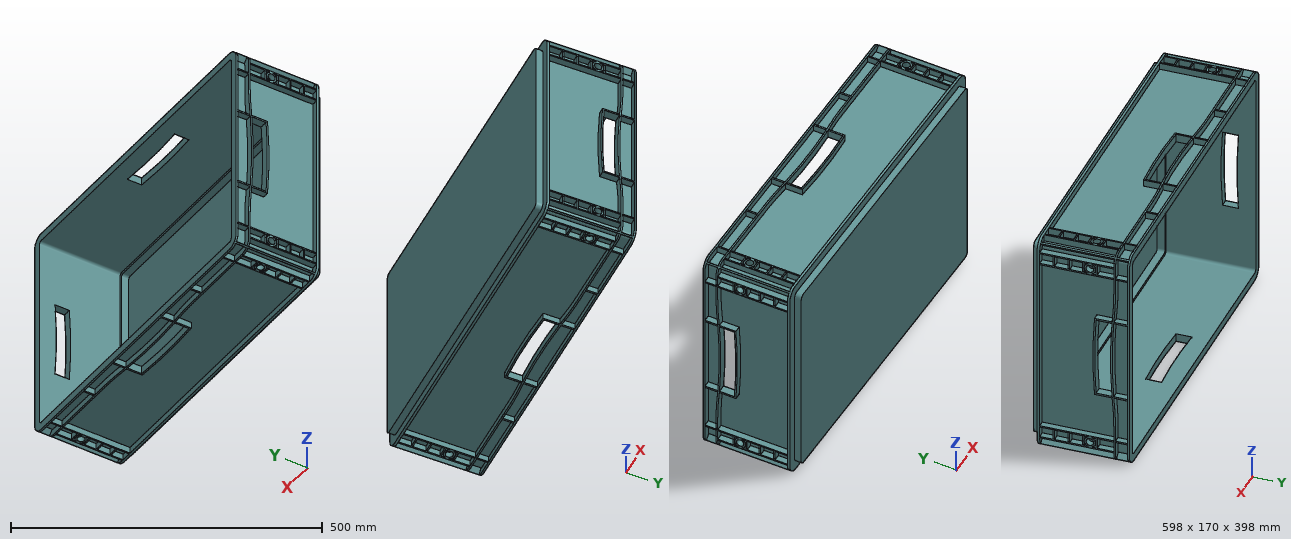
import cadquery as cq
import math


LENGTH = 598.0
WIDTH = 398.0
HEIGHT = 170.0

CORNER_RADIUS = 20.0
RIB_DEPTH = 11.5
WALL = 3.0
RIB = 3.0
RIM_THICKNESS = 3.5

BASE_INSET = 16.0
BASE_HEIGHT = 12.0
BASE_CORNER_RADIUS = 8.5
FLANGE_TOP = 16.5
FLOOR = 3.0

BAND_TOP = HEIGHT - 23.8
BAND_BOTTOM = BAND_TOP - RIB
BOW_CREST_RADIUS = 980.0
BOW_BEND = 85.0
BOW_HALF_SPAN = 129.0
BOW_RUNOUT_RADIUS = BOW_CREST_RADIUS * (BOW_HALF_SPAN - BOW_BEND) / BOW_BEND

GRIP_HALF_WIDTH = 70.0
GRIP_HEIGHT = 27.1

COLUMN_RIB = 2.5
COLUMN_INSET = 22.3
COLUMN_PITCH = 20.7
CROSS_RIB_DEPTHS = (56.2, 79.0, 103.5, 129.5)
BOSS_OUTER_RADIUS = 9.8
BOSS_BORE_RADIUS = 6.5

RIM_RIB_X = 158.5


def rounded_slab(inset, radius, y_low, y_high):
    """Slab with rounded corners, inset from the overall outline."""
    return (
        cq.Workplane("XZ", origin=(0, y_high, 0))
        .rect(LENGTH - 2 * inset, WIDTH - 2 * inset)
        .extrude(y_high - y_low)
        .edges("|Y")
        .fillet(radius)
    )


def arc_rise(radius, half_width):
    """Height of an arc over its chord, for a chord of the given half width."""
    return radius - math.sqrt(radius**2 - half_width**2)


BOW_SAG = arc_rise(BOW_CREST_RADIUS, BOW_BEND) + arc_rise(BOW_RUNOUT_RADIUS, BOW_HALF_SPAN - BOW_BEND)


def bow_drop(x):
    """How far the bowed curve lies below its straight ends at the distance x from the middle."""
    from_end = max(BOW_HALF_SPAN - abs(x), 0)
    if abs(x) >= BOW_BEND:
        return arc_rise(BOW_RUNOUT_RADIUS, from_end)
    return BOW_SAG - arc_rise(BOW_CREST_RADIUS, x)


def wall_plane(reach):
    """Plane at the inner face of a wall that faces +Z at the given reach from the centre."""
    return cq.Workplane("XY", origin=(0, 0, reach - RIB_DEPTH - WALL))


def wall_bar(reach, x_mid, y_low, y_high, width=RIB):
    """Straight rib running along Y."""
    return (
        wall_plane(reach)
        .center(x_mid, (y_low + y_high) / 2)
        .rect(width, y_high - y_low)
        .extrude(RIB_DEPTH + WALL)
    )


def bowed_edge(profile, y, direction):
    """Continue a profile from one end of the bow to the other; direction is the sign of travel in x."""
    runout_middle = (BOW_HALF_SPAN + BOW_BEND) / 2

    def point(x):
        return (x, y - bow_drop(x))

    return (
        profile.threePointArc(point(-direction * runout_middle), point(-direction * BOW_BEND))
        .threePointArc(point(0), point(direction * BOW_BEND))
        .threePointArc(point(direction * runout_middle), point(direction * BOW_HALF_SPAN))
    )


def band_rib(reach, half_length):
    """Rib along the whole wall, bowed in the middle."""
    profile = wall_plane(reach).moveTo(-half_length, BAND_TOP).lineTo(-BOW_HALF_SPAN, BAND_TOP)
    profile = bowed_edge(profile, BAND_TOP, 1).lineTo(half_length, BAND_TOP)
    profile = profile.lineTo(half_length, BAND_BOTTOM).lineTo(BOW_HALF_SPAN, BAND_BOTTOM)
    profile = bowed_edge(profile, BAND_BOTTOM, -1).lineTo(-half_length, BAND_BOTTOM)
    return profile.close().extrude(RIB_DEPTH + WALL)


def bowed_block(reach, half_width, y_high, y_low):
    """Block bounded above and below by the bowed curve, starting at heights y_high and y_low."""
    end_drop = bow_drop(half_width)
    return (
        wall_plane(reach)
        .moveTo(-half_width, y_high - end_drop)
        .threePointArc((0, y_high - BOW_SAG), (half_width, y_high - end_drop))
        .lineTo(half_width, y_low - end_drop)
        .threePointArc((0, y_low - BOW_SAG), (-half_width, y_low - end_drop))
        .close()
        .extrude(RIB_DEPTH + WALL)
    )


def grip_hole(reach):
    return bowed_block(reach, GRIP_HALF_WIDTH, BAND_BOTTOM, BAND_BOTTOM - GRIP_HEIGHT)


def grip_frame(reach):
    """Collar around the hand hole and the two ribs that tie it to the rim."""
    outer_half_width = GRIP_HALF_WIDTH + RIB
    frame = bowed_block(reach, outer_half_width, BAND_TOP, BAND_BOTTOM - GRIP_HEIGHT - RIB)
    for side in (-1, 1):
        x_mid = side * (GRIP_HALF_WIDTH + RIB / 2)
        frame = frame.union(wall_bar(reach, x_mid, BAND_BOTTOM - BOW_SAG, HEIGHT))
    return frame


def rib_column(reach, half_length, side):
    """Pair of ribs near a corner with cross ribs and a tubular boss between them."""
    outer_x = side * (half_length - COLUMN_INSET)
    inner_x = outer_x - side * COLUMN_PITCH
    middle_x = (outer_x + inner_x) / 2
    column = wall_bar(reach, outer_x, BASE_HEIGHT, BAND_TOP, COLUMN_RIB)
    column = column.union(wall_bar(reach, inner_x, BASE_HEIGHT, HEIGHT, COLUMN_RIB))
    for depth in CROSS_RIB_DEPTHS:
        y_low = HEIGHT - depth - COLUMN_RIB / 2
        cross = wall_bar(reach, middle_x, y_low, y_low + COLUMN_RIB, COLUMN_PITCH)
        column = column.union(cross)
    boss_y = HEIGHT - (CROSS_RIB_DEPTHS[0] + CROSS_RIB_DEPTHS[1]) / 2
    boss = wall_plane(reach).center(middle_x, boss_y).circle(BOSS_OUTER_RADIUS).extrude(RIB_DEPTH + WALL)
    bore = (
        wall_plane(reach + WALL)
        .center(middle_x, boss_y)
        .circle(BOSS_BORE_RADIUS)
        .extrude(RIB_DEPTH + WALL)
    )
    return column.union(boss).cut(bore)


def wall_ribs(reach, half_length):
    ribs = band_rib(reach, half_length).union(grip_frame(reach))
    for side in (-1, 1):
        ribs = ribs.union(rib_column(reach, half_length, side))
    return ribs


def around_y(shape, angle):
    return shape.rotate((0, 0, 0), (0, 1, 0), angle)


def corner_rib(x_side, z_side):
    """Full-height rib along the diagonal of a corner, running into the wall corner."""
    length = 2 * CORNER_RADIUS
    inner_reach = CORNER_RADIUS - RIB_DEPTH - WALL / 2
    rib = cq.Workplane("XY", origin=(inner_reach, BASE_HEIGHT, -RIB / 2)).box(
        length, HEIGHT - BASE_HEIGHT, RIB, centered=False
    )
    diagonal_angle = -math.degrees(math.atan2(z_side, x_side))
    corner_centre = (x_side * (LENGTH / 2 - CORNER_RADIUS), 0, z_side * (WIDTH / 2 - CORNER_RADIUS))
    return around_y(rib, diagonal_angle).translate(corner_centre)


body = rounded_slab(BASE_INSET, BASE_CORNER_RADIUS, 0, BASE_HEIGHT)
body = body.union(rounded_slab(0, CORNER_RADIUS, BASE_HEIGHT, FLANGE_TOP))
body = body.union(rounded_slab(RIB_DEPTH, CORNER_RADIUS - RIB_DEPTH, BASE_HEIGHT, HEIGHT))
body = body.union(rounded_slab(0, CORNER_RADIUS, HEIGHT - RIM_THICKNESS, HEIGHT))

long_wall = wall_ribs(WIDTH / 2, LENGTH / 2)
for x_mid in (-RIM_RIB_X, RIM_RIB_X):
    long_wall = long_wall.union(wall_bar(WIDTH / 2, x_mid, BAND_BOTTOM, HEIGHT))
short_wall = wall_ribs(LENGTH / 2, WIDTH / 2)
ribs = long_wall.union(around_y(long_wall, 180))
ribs = ribs.union(around_y(short_wall, 90)).union(around_y(short_wall, -90))
for x_side in (-1, 1):
    for z_side in (-1, 1):
        ribs = ribs.union(corner_rib(x_side, z_side))
body = body.union(ribs.intersect(rounded_slab(0, CORNER_RADIUS, BASE_HEIGHT, HEIGHT)))

wall_inset = RIB_DEPTH + WALL
base_cavity_radius = BASE_CORNER_RADIUS - WALL
body = body.cut(rounded_slab(wall_inset, CORNER_RADIUS - wall_inset, FLANGE_TOP, HEIGHT))
body = body.cut(rounded_slab(BASE_INSET + WALL, base_cavity_radius, FLOOR, FLANGE_TOP))

for quarter in range(4):
    reach = WIDTH / 2 if quarter % 2 == 0 else LENGTH / 2
    body = body.cut(around_y(grip_hole(reach), 90 * quarter))

result = body